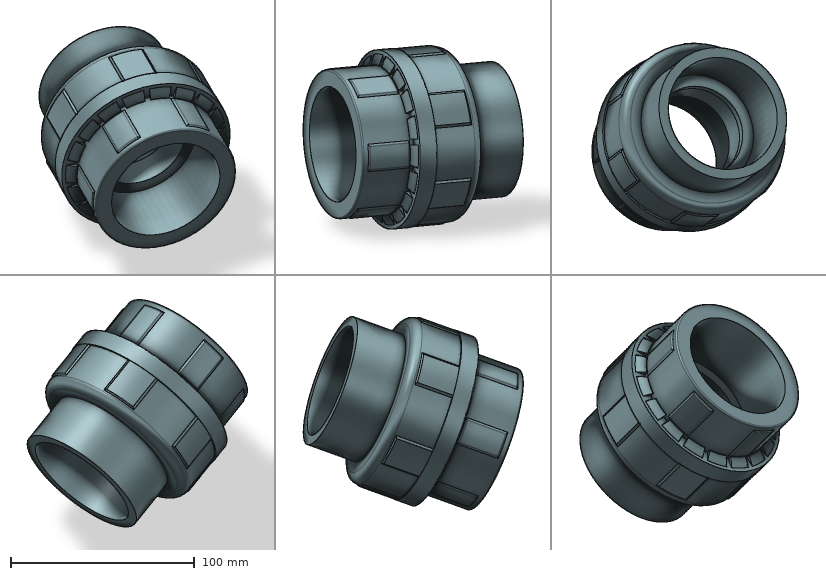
import cadquery as cq
import math


overall_length = 97.0
through_bore_dia = 50.4
socket_dia = 63.0
socket_depth = 37.8

tail_dia = 74.0
web_length = 4.9
joint_x = socket_depth + web_length

nut_left_x = 28.5
barrel_dia = 96.0
barrel_round = 5.0
nut_turn = 0.5
flange_dia = 98.0
flange_left_x = 56.5
flange_right_x = 66.5

nut_rib_count = 6
nut_rib_left_x = 34.5
nut_rib_width = 20.1
nut_rib_top_radius = 48.8
nut_rib_bevel = 0.9

tooth_count = 18
tooth_base_dia = 93.5
tooth_tip_dia = 82.1
tooth_tip_x = 68.9
tooth_gap = 3.3

body_dia = 81.5
body_end_round = 0.8

body_rib_count = 6
body_rib_left_x = 69.1
body_rib_right_x = 93.7
body_rib_width = 15.3
body_rib_height = 0.7
body_rib_bevel = 0.9
body_rib_round = 0.4
body_rib_turn = 30.0


def cylinder(dia, left_x, right_x):
    return cq.Workplane("YZ", origin=(left_x, 0, 0)).circle(dia / 2).extrude(right_x - left_x)


def revolved(outline):
    """Revolve an outline of (X, radius) points about the X axis."""
    return cq.Workplane("XY").polyline(outline).close().revolve(360, (0, 0, 0), (1, 0, 0))


def block(left_x, right_x, width, bottom_z, top_z):
    """Box centred on Y = 0, above the axis."""
    return cq.Workplane("XY").box(
        right_x - left_x, width, top_z - bottom_z, centered=(False, True, False)
    ).translate((left_x, 0, bottom_z))


def turned(shape, angle):
    """Turn a shape about the X axis; a positive angle goes from +Z toward +Y."""
    return shape.rotate((0, 0, 0), (1, 0, 0), -angle)


def rib(left_x, right_x, width, surface_radius, top_radius, bevel):
    """Grip rib at +Z with a rounded top; length and width are measured where its slopes meet the surface."""
    height = top_radius - surface_radius
    side_z = math.sqrt(surface_radius**2 - (width / 2) ** 2)
    top_half_width = width / 2 - bevel * (top_radius - side_z) / height
    bar = (
        cq.Workplane("YZ", origin=(left_x, 0, 0))
        .moveTo(-width / 2, side_z)
        .lineTo(width / 2, side_z)
        .lineTo(top_half_width, top_radius)
        .lineTo(-top_half_width, top_radius)
        .close()
        .extrude(right_x - left_x)
    )
    envelope = revolved([
        (left_x, 0),
        (left_x, surface_radius),
        (left_x + bevel, top_radius),
        (right_x - bevel, top_radius),
        (right_x, surface_radius),
        (right_x, 0),
    ])
    return bar.intersect(envelope)


def make_tail_piece():
    tail = cylinder(tail_dia, 0, joint_x)
    tail = tail.cut(cylinder(socket_dia, 0, socket_depth))
    return tail.cut(cylinder(through_bore_dia, 0, joint_x))


def make_tooth_ring():
    ring = revolved([
        (flange_right_x, 0),
        (flange_right_x, tooth_base_dia / 2),
        (tooth_tip_x, tooth_tip_dia / 2),
        (tooth_tip_x, 0),
    ])
    gap = block(flange_right_x, tooth_tip_x, tooth_gap, 0, flange_dia / 2)
    for i in range(tooth_count):
        ring = ring.cut(turned(gap, nut_turn + i * 360 / tooth_count))
    return ring


def make_nut():
    nut = cylinder(barrel_dia, nut_left_x, flange_left_x).faces("<X").edges().fillet(barrel_round)
    nut = nut.union(cylinder(flange_dia, flange_left_x, flange_right_x))
    grip = rib(nut_rib_left_x, flange_right_x, nut_rib_width,
               barrel_dia / 2, nut_rib_top_radius, nut_rib_bevel)
    for i in range(nut_rib_count):
        nut = nut.union(turned(grip, nut_turn + i * 360 / nut_rib_count))
    nut = nut.union(make_tooth_ring())
    nut = nut.cut(cylinder(tail_dia, nut_left_x, joint_x))
    return nut.cut(cylinder(body_dia, joint_x, tooth_tip_x))


def make_body():
    body = cylinder(body_dia, joint_x, overall_length).faces(">X").edges().fillet(body_end_round)
    grip = rib(body_rib_left_x, body_rib_right_x, body_rib_width,
               body_dia / 2, body_dia / 2 + body_rib_height, body_rib_bevel)
    grip = grip.faces("%CYLINDER").edges().fillet(body_rib_round)
    for i in range(body_rib_count):
        body = body.union(turned(grip, body_rib_turn + i * 360 / body_rib_count))
    body = body.cut(cylinder(through_bore_dia, joint_x, overall_length))
    return body.cut(cylinder(socket_dia, overall_length - socket_depth, overall_length))


tail_piece = make_tail_piece()
nut = make_nut()
body = make_body()

result = cq.Compound.makeCompound([tail_piece.val(), nut.val(), body.val()])